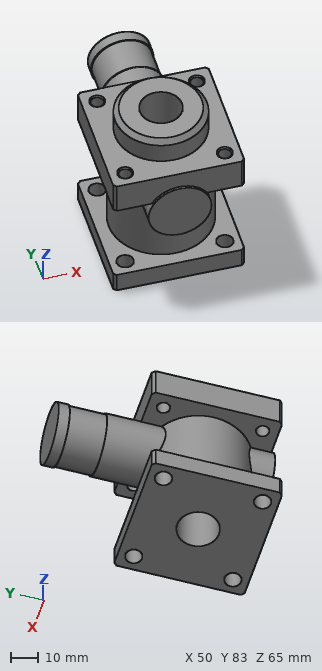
import cadquery as cq

flange_side = 50.0
corner_chamfer = 1.2
base_thickness = 8.1
column_diameter = 40.0
top_flange_bottom = 42.0
top_flange_thickness = 12.8
total_height = 65.0
boss_diameter = 35.0
boss_chamfer = 2.0
bore_diameter = 16.0

bolt_spacing = 38.0
top_bolt_diameter = 4.9
top_bolt_chamfer = 0.54
base_bolt_diameter = 6.4

spindle_length = 83.0
spindle_diameter = 24.0
spindle_height = 36.0
front_overhang = 1.0
groove_diameter = 23.15
groove_length = 14.3
end_collar_length = 4.3

top_flange_top = top_flange_bottom + top_flange_thickness
spindle_front = -flange_side / 2 - front_overhang
spindle_back = spindle_front + spindle_length
groove_back = spindle_back - end_collar_length
groove_front = groove_back - groove_length


def disc_z(diameter, bottom, top):
    """Upright cylinder on the column axis."""
    return cq.Workplane("XY", origin=(0, 0, bottom)).circle(diameter / 2).extrude(top - bottom)


def disc_y(diameter, front, back):
    """Cylinder on the spindle axis, running toward +Y."""
    plane = cq.Workplane("XZ", origin=(0, front, spindle_height))
    return plane.circle(diameter / 2).extrude(front - back)


def flange(bottom, thickness, bolt_diameter):
    """Square plate with chamfered corners and four bolt holes."""
    plate = (
        cq.Workplane("XY", origin=(0, 0, bottom))
        .rect(flange_side, flange_side)
        .extrude(thickness)
        .edges("|Z")
        .chamfer(corner_chamfer)
    )
    return (
        plate.faces(">Z")
        .workplane()
        .rect(bolt_spacing, bolt_spacing, forConstruction=True)
        .vertices()
        .hole(bolt_diameter)
    )


def make_housing():
    """Flanged column with a vertical bore and a cross hole for the spindle."""
    base = flange(0, base_thickness, base_bolt_diameter)
    top_flange = flange(top_flange_bottom, top_flange_thickness, top_bolt_diameter)
    top_flange = top_flange.faces(">Z").edges("%CIRCLE").chamfer(top_bolt_chamfer)
    column = disc_z(column_diameter, base_thickness, top_flange_bottom)
    boss = disc_z(boss_diameter, top_flange_top, total_height).faces(">Z").chamfer(boss_chamfer)
    body = base.union(column).union(top_flange).union(boss)
    bore = disc_z(bore_diameter, 0, total_height)
    spindle_hole = disc_y(spindle_diameter, spindle_front, spindle_back)
    return body.cut(bore).cut(spindle_hole)


def make_spindle():
    """Rod with a shallow groove near its back end and a bore in line with the housing bore."""
    rod = disc_y(spindle_diameter, spindle_front, spindle_back)
    groove = disc_y(spindle_diameter, groove_front, groove_back).cut(
        disc_y(groove_diameter, groove_front, groove_back)
    )
    cross_bore = disc_z(bore_diameter, 0, total_height)
    return rod.cut(groove).cut(cross_bore)


housing = make_housing()
spindle = make_spindle()
result = cq.Compound.makeCompound([housing.solids().val(), spindle.solids().val()])